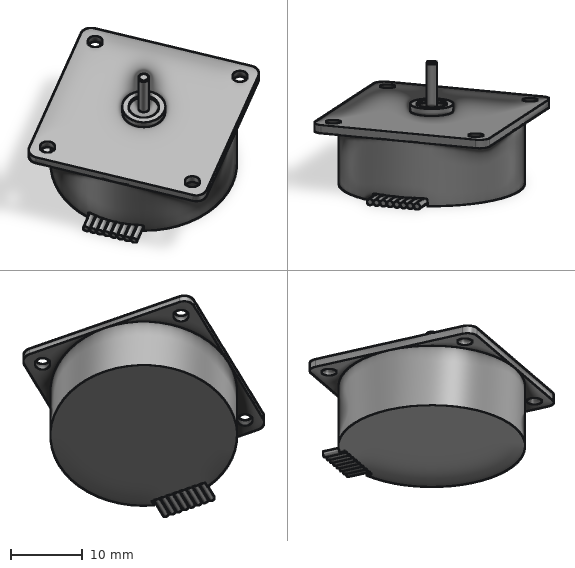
import cadquery as cq
import math

BODY_DIAMETER = 26.0
BODY_HEIGHT = 9.2
PLATE_SIDE = BODY_DIAMETER
PLATE_THICKNESS = 1.2
PLATE_CORNER_RADIUS = 1.5
PLATE_TOP = BODY_HEIGHT + PLATE_THICKNESS

BOLT_CIRCLE_DIAMETER = 30.0
HOLE_DIAMETER = 2.1
HOLE_SPACING = BOLT_CIRCLE_DIAMETER / math.sqrt(2)

PILOT_DIAMETER = 6.0
PILOT_HEIGHT = 1.0
RECESS_DIAMETER = 4.2
RECESS_DEPTH = 0.35

SHAFT_DIAMETER = 1.5
SHAFT_TOP = 17.4
SHAFT_CHAMFER_HEIGHT = 0.2
SHAFT_CHAMFER_WIDTH = 0.1

WIRE_COUNT = 8
WIRE_DIAMETER = 0.9
WIRE_PITCH = 1.0
WIRE_CENTRE_HEIGHT = 0.55
WIRE_END_Y = -15.0
NOTCH_WIDTH = 8.2
NOTCH_HEIGHT = 1.15
NOTCH_CORNER_RADIUS = 0.4
NOTCH_BACK_Y = -11.5
WIRE_EMBEDDING = 0.5


def make_body():
    return cq.Workplane("XY").circle(BODY_DIAMETER / 2).extrude(BODY_HEIGHT)


def make_plate():
    base = cq.Workplane("XY", origin=(0, 0, BODY_HEIGHT))
    plate = base.rect(PLATE_SIDE, PLATE_SIDE).extrude(PLATE_THICKNESS)
    plate = plate.edges("|Z").fillet(PLATE_CORNER_RADIUS)
    holes = (
        base.rect(HOLE_SPACING, HOLE_SPACING, forConstruction=True)
        .vertices()
        .circle(HOLE_DIAMETER / 2)
        .extrude(PLATE_THICKNESS)
    )
    return plate.cut(holes)


def make_pilot():
    pilot = cq.Workplane("XY", origin=(0, 0, PLATE_TOP)).circle(PILOT_DIAMETER / 2).extrude(PILOT_HEIGHT)
    return pilot.faces(">Z").workplane().circle(RECESS_DIAMETER / 2).cutBlind(-RECESS_DEPTH)


def make_shaft():
    shaft = cq.Workplane("XY", origin=(0, 0, PLATE_TOP))
    shaft = shaft.circle(SHAFT_DIAMETER / 2).extrude(SHAFT_TOP - PLATE_TOP)
    return shaft.faces(">Z").edges().chamfer(SHAFT_CHAMFER_HEIGHT, SHAFT_CHAMFER_WIDTH)


def make_notch():
    """Opening for the wires: open at the bottom, with rounded upper corners."""
    notch_length = NOTCH_BACK_Y - WIRE_END_Y
    notch = cq.Workplane("XY", origin=(0, (NOTCH_BACK_Y + WIRE_END_Y) / 2, 0))
    notch = notch.rect(NOTCH_WIDTH, notch_length).extrude(NOTCH_HEIGHT)
    return notch.edges("|Y and >Z").fillet(NOTCH_CORNER_RADIUS)


def make_wires():
    """Row of parallel round wires, each set a little way into the notch's back wall."""
    wire_length = NOTCH_BACK_Y + WIRE_EMBEDDING - WIRE_END_Y
    wires = cq.Workplane("XZ", origin=(0, WIRE_END_Y, WIRE_CENTRE_HEIGHT))
    return wires.rarray(WIRE_PITCH, 1, WIRE_COUNT, 1).circle(WIRE_DIAMETER / 2).extrude(-wire_length)


motor = make_body().cut(make_notch())
result = motor.union(make_plate()).union(make_pilot()).union(make_shaft()).union(make_wires())